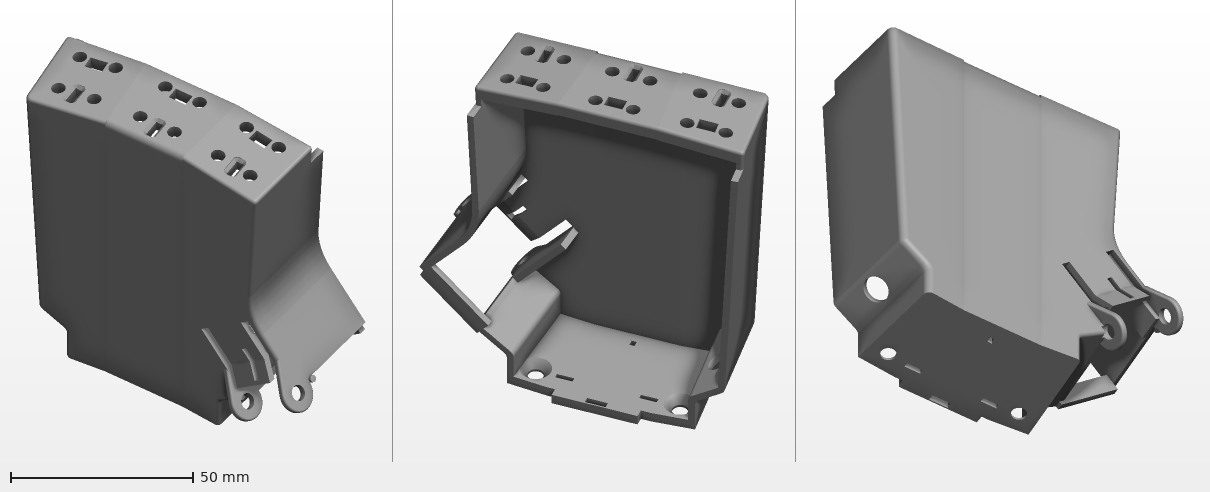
import cadquery as cq
import math

height = 100.4
depth = 31.6
wall = 2.0
floor = 3.0
panel_tilt = 5.0
centre_half = 12.4
top_wall = 4.0

base_reach = 12.4
base_height = 10.0
shoulder_reach = 20.9
shoulder_height = 15.4
top_reach = 25.0

front_round = 2.0
outlet_side_round = 1.2
top_round = 1.0
crease_round = 2.0

step_front = 25.3
step_height = 92.0
step_turn = 2.0

outlet_drop = 50.0
outlet_span = 24.7
bend_radius = 18.1
plate = 2.0
lug_radius = 5.4
lug_hole = 4.5
lug_start = 11.0
lug_round = 0.6
slot_width = 3.0
slot_length = 24.7
tongue_gap = 6.0
tongue_bend = 12.2
tongue_rise = 2.7
strain_slot_start = 16.5
strain_slot_end = 7.1
strain_slot_shift = 1.8
strain_slot_width = 1.8
strap_width = 5.3
strap_overhang = 1.1
upper_rib = 1.5
rib_depth = 10.0
plate_setback = 1.0
overlap = 0.1
pin_diameter = 2.0
pin_height = 0.8
pin_back = 6.2
pin_inset = 0.3

pin_hole = 4.0
pin_hole_offset = 5.5
pin_rows = (7.1, 20.2)
window = (5.4, 3.7)
window_row = 19.3
key_slot = (2.2, 5.4)
key_bevel = 0.9
key_row = 5.7
key_side_offset = 26.0

cable_hole = 7.6
cable_hole_back = 18.0
screw_hole = 4.5
screw_head = 9.0
screw_offset = 21.2
screw_row = 25.1
floor_slot = (5.1, 1.4)
floor_slot_offset = 12.3
floor_slot_row = 26.0
drain = (1.5, 1.8)
tab_width = 25.2
tab_shift = 0.5
tab_back = 34.0
tab_slot = (6.1, 1.8)
tab_slot_row = 32.7

tilt = math.radians(panel_tilt)
centre_depth = depth * math.cos(tilt)
panel_fall = math.tan(tilt)
top_edge = height - top_reach * panel_fall
drop = math.radians(outlet_drop)
along = (math.cos(drop), -math.sin(drop))
across = (math.sin(drop), math.cos(drop))
outlet_end = (
    shoulder_reach + outlet_span * across[0],
    shoulder_height + outlet_span * across[1],
)


def place(shape, side):
    """Move a panel-frame shape to the right (+1) or left (-1) of the centre panel."""
    moved = shape.rotate((0, 0, 0), (0, 0, 1), -panel_tilt).translate((centre_half, 0, 0))
    return moved if side > 0 else moved.mirror("YZ")


def panel_outline(start, bottom, with_outlet):
    """Closed panel outline in its own frame, X outward and Z up."""
    outline = (
        cq.Workplane("XZ")
        .moveTo(start, bottom)
        .lineTo(base_reach, bottom)
        .lineTo(base_reach, base_height)
        .lineTo(shoulder_reach, shoulder_height)
    )
    if with_outlet:
        wall_lean = math.atan2(top_reach - shoulder_reach, top_edge - shoulder_height)
        wall_way = (math.sin(wall_lean), math.cos(wall_lean))
        gap_x = shoulder_reach - outlet_end[0]
        gap_z = shoulder_height - outlet_end[1]
        determinant = along[0] * wall_way[1] - along[1] * wall_way[0]
        back = (gap_x * wall_way[1] - gap_z * wall_way[0]) / determinant
        corner = (outlet_end[0] + back * along[0], outlet_end[1] + back * along[1])
        turn = math.pi / 2 - drop + wall_lean
        trim = bend_radius * math.tan(turn / 2)
        bend_start = (corner[0] + trim * along[0], corner[1] + trim * along[1])
        bend_end = (corner[0] + trim * wall_way[0], corner[1] + trim * wall_way[1])
        outline = (
            outline.lineTo(*outlet_end)
            .lineTo(*bend_start)
            .tangentArcPoint(bend_end, relative=False)
        )
    return outline.lineTo(top_reach, top_edge).lineTo(start, height - start * panel_fall).close()


def side_front_edges(panel):
    """Front edges along the outer side, leaving out joint, base, top and outlet mouth."""
    mouth = ((shoulder_reach + outlet_end[0]) / 2, (shoulder_height + outlet_end[1]) / 2)
    chosen = []
    for edge in panel.faces("<Y").edges().vals():
        middle = edge.Center()
        at_mouth = math.hypot(middle.x - mouth[0], middle.z - mouth[1]) < wall
        if middle.x > base_reach - wall and middle.z > wall and middle.z < top_edge - wall and not at_mouth:
            if middle.x > top_reach / 2 + wall or middle.z < shoulder_height:
                chosen.append(edge)
    return chosen


def side_panel(with_outlet):
    panel = panel_outline(0, 0, with_outlet).extrude(-depth)
    side_round = outlet_side_round if with_outlet else front_round
    creases = [(base_reach, base_height)]
    if not with_outlet:
        creases.append((shoulder_reach, shoulder_height))
    for x, z in creases:
        panel = panel.edges(cq.selectors.NearestToPointSelector((x, depth / 2, z))).fillet(crease_round)
    panel = panel.newObject(side_front_edges(panel)).fillet(side_round)
    top_front = (top_reach / 2, 0, (height + top_edge) / 2)
    return panel.edges(cq.selectors.NearestToPointSelector(top_front)).fillet(top_round)


def side_cavity(with_outlet):
    hollow = panel_outline(-wall, floor - wall, with_outlet).offset2D(-wall).extrude(-depth)
    far = 2 * top_reach
    ceiling = (
        cq.Workplane("XZ", origin=(0, 0, height - top_wall))
        .polyline([(-wall, 0), (far, -far * panel_fall), (far, wall), (-wall, wall)])
        .close()
        .extrude(-depth)
    )
    return hollow.cut(ceiling).translate((0, wall, 0))


def centre_prism(front, back, bottom, top):
    """Block between the two panel joints, which spread toward the back."""
    spread = math.tan(tilt)
    near = centre_half + front * spread
    far = centre_half + back * spread
    corners = [(-near, front), (near, front), (far, back), (-far, back)]
    return cq.Workplane("XY").workplane(offset=bottom).polyline(corners).close().extrude(top - bottom)


lug_centre = (outlet_end[0] - across[0] * plate / 2, outlet_end[1] - across[1] * plate / 2)
lower_lug = plate - outlet_span
tongue_low = lower_lug + plate / 2 + slot_width
tongue_high = -plate / 2 - slot_width
strain_middle = (tongue_low + tongue_high) / 2 + strain_slot_shift


def outlet_block(s_range, t_range, v_range):
    """Block in outlet directions: along, across, and back from the panel front."""
    plane = cq.Plane(
        origin=(lug_centre[0], v_range[0], lug_centre[1]),
        xDir=(along[0], 0, along[1]),
        normal=(0, -1, 0),
    )
    length = s_range[1] - s_range[0]
    width = t_range[1] - t_range[0]
    return (
        cq.Workplane(plane)
        .center((s_range[0] + s_range[1]) / 2, (t_range[0] + t_range[1]) / 2)
        .rect(length, width)
        .extrude(v_range[0] - v_range[1])
    )


def across_plane(t):
    """Plane of a lug: X along the outlet, Y toward the back."""
    return cq.Plane(
        origin=(lug_centre[0] + t * across[0], 0, lug_centre[1] + t * across[1]),
        xDir=(along[0], 0, along[1]),
        normal=(across[0], 0, across[1]),
    )


def lug(t):
    """Round-ended ear sloping out of the panel front."""
    lean = math.asin(lug_radius / lug_start)
    touch = (-lug_radius * math.sin(lean), -lug_radius * math.cos(lean))
    ear = (
        cq.Workplane(across_plane(t - plate / 2))
        .moveTo(-lug_start, 0)
        .lineTo(*touch)
        .threePointArc((lug_radius, 0), (0, lug_radius))
        .lineTo(-lug_start, lug_radius)
        .close()
        .extrude(plate)
    )
    return ear.faces("<Y").edges().fillet(lug_round)


def lug_bore(t):
    return cq.Workplane(across_plane(t - plate)).circle(lug_hole / 2).extrude(2 * plate)


def tongue():
    """Flap between the lugs, bent out of the panel front."""
    return (
        cq.Workplane(across_plane(tongue_low))
        .polyline(
            [
                (-tongue_bend, 0),
                (-tongue_gap, -tongue_rise),
                (-tongue_gap, wall - tongue_rise),
                (-tongue_bend, wall),
            ]
        )
        .close()
        .extrude(tongue_high - tongue_low)
    )


def add_outlet(housing):
    inner = (lower_lug + plate / 2, -plate / 2)
    cut_depth = (-wall, wall)
    housing = housing.cut(place(outlet_block((-tongue_bend, wall), inner, cut_depth), 1))
    mouth = outlet_block((-2 * strap_width, wall), inner, (wall, depth - wall))
    housing = housing.cut(place(mouth, 1))
    rib_bands = (
        (inner[1] - upper_rib, inner[1]),
        (inner[0] - plate, inner[0]),
    )
    for band in rib_bands:
        rib = outlet_block((-slot_length, -plate_setback), band, (wall - overlap, rib_depth))
        housing = housing.union(place(rib, 1))
    setback = outlet_block(
        (-plate_setback, 2 * wall),
        (inner[1] - plate, 2 * plate),
        (lug_radius, 2 * depth),
    )
    housing = housing.cut(place(setback, 1))
    strap = outlet_block(
        (strap_overhang - strap_width, strap_overhang),
        (inner[0] - plate, inner[1]),
        (depth - wall, depth),
    )
    housing = housing.union(place(strap, 1))
    for low, high in ((inner[0], tongue_low), (tongue_high, inner[1])):
        slot = outlet_block((-slot_length, -tongue_bend), (low, high), cut_depth)
        housing = housing.cut(place(slot, 1))
    housing = housing.union(place(tongue(), 1))
    strain_slot = outlet_block(
        (-strain_slot_start, -strain_slot_end),
        (strain_middle - strain_slot_width / 2, strain_middle + strain_slot_width / 2),
        (-2 * wall, 2 * wall),
    )
    housing = housing.cut(place(strain_slot, 1))
    for t in (0, lower_lug):
        housing = housing.union(place(lug(t), 1)).cut(place(lug_bore(t), 1))
    pin = (
        cq.Workplane(across_plane(0))
        .center(-pin_inset, pin_back)
        .circle(pin_diameter / 2)
        .extrude(plate / 2 + pin_height)
    )
    return housing.union(place(pin, 1))


def contact_openings(middle, level):
    """Four contact holes and a window, cut down through one top panel."""
    top = cq.Workplane("XY").workplane(offset=level + wall)
    points = [(middle + x, y) for x in (-pin_hole_offset, pin_hole_offset) for y in pin_rows]
    holes = top.pushPoints(points).circle(pin_hole / 2).extrude(-2 * top_wall)
    return holes.union(top.center(middle, window_row).rect(*window).extrude(-2 * top_wall))


def octagon(plane, width, length, corner):
    """Rectangle with its corners cut off, centred on the plane's origin."""
    x, y = width / 2, length / 2
    points = []
    for along_x, along_y in ((1, 1), (-1, 1), (-1, -1), (1, -1)):
        clipped = [(along_x * x, along_y * (y - corner)), (along_x * (x - corner), along_y * y)]
        points += clipped if along_x == along_y else clipped[::-1]
    return plane.polyline(points).close()


def key_opening(x, level):
    """Bevelled slot through the top at the given place and level."""
    rim = cq.Workplane("XY", origin=(x, key_row, level))
    wide = (key_slot[0] + 2 * key_bevel, key_slot[1] + 2 * key_bevel)
    bevel = octagon(rim, *wide, key_bevel).workplane(offset=-key_bevel)
    bevel = octagon(bevel, *key_slot, key_bevel / 3).loft(combine=True)
    above = octagon(rim, *wide, key_bevel).extrude(wall)
    return bevel.union(above).union(rim.rect(*key_slot).extrude(-2 * top_wall))


def cable_opening():
    """Round hole square to the sloped left shoulder."""
    rise = shoulder_height - base_height
    run = shoulder_reach - base_reach
    plane = cq.Plane(
        origin=(base_reach + run / 2, cable_hole_back, base_height + rise / 2),
        xDir=(0, 1, 0),
        normal=(rise, 0, -run),
    )
    return cq.Workplane(plane).circle(cable_hole / 2).extrude(2 * wall, both=True)


def cut_top(housing):
    housing = housing.cut(contact_openings(0, height))
    housing = housing.cut(key_opening(0, height))
    for side in (-1, 1):
        tilted = contact_openings(top_reach / 2, 0).rotate((0, 0, 0), (0, 1, 0), panel_tilt)
        housing = housing.cut(place(tilted.translate((0, 0, height)), side))
        key_level = height - (key_side_offset - centre_half) * panel_fall
        housing = housing.cut(key_opening(side * key_side_offset, key_level))
    return housing


def finish_floor(housing):
    """Back tab, screw holes, drain and snap slots of the floor."""
    tab = (
        cq.Workplane("XY")
        .center(tab_shift, (screw_row + tab_back) / 2)
        .rect(tab_width, tab_back - screw_row)
        .extrude(floor)
    )
    housing = housing.union(tab)
    ground = cq.Workplane("XY")
    slots = ground.center(tab_shift, tab_slot_row).rect(*tab_slot).extrude(floor)
    for x in (-floor_slot_offset, floor_slot_offset):
        slots = slots.union(ground.center(x, floor_slot_row).rect(*floor_slot).extrude(floor))
    slots = slots.union(ground.center(0, key_row).rect(*drain).extrude(floor))
    housing = housing.cut(slots)
    head_depth = (screw_head - screw_hole) / 2
    for x in (-screw_offset, screw_offset):
        through = ground.center(x, screw_row).circle(screw_hole / 2).extrude(floor)
        head = cq.Solid.makeCone(
            screw_hole / 2, screw_head / 2, head_depth, pnt=cq.Vector(x, screw_row, floor - head_depth)
        )
        housing = housing.cut(through).cut(cq.Workplane(head))
    return housing


def cut_step(solid):
    """Lower the back of the housing, and round the top edge left in front of the step."""
    joint = centre_half + step_front * math.tan(tilt)
    far = 2 * depth
    turned = step_front - (far - joint) * math.tan(math.radians(step_turn))
    corners = [
        (-far, turned),
        (-joint, step_front),
        (joint, step_front),
        (far, turned),
        (far, far),
        (-far, far),
    ]
    step = cq.Workplane("XY", origin=(0, 0, step_height)).polyline(corners).close().extrude(height)
    solid = solid.cut(step)
    rims = []
    for x in (-centre_half - top_reach / 2, 0, centre_half + top_reach / 2):
        level = height - max(0, abs(x) - centre_half) * panel_fall
        rims.append(solid.edges(cq.selectors.NearestToPointSelector((x, step_front, level))).val())
    return solid.newObject(rims).fillet(top_round)


def housing_shell():
    solid = centre_prism(0, centre_depth, 0, height).edges("|X and >Z and <Y").fillet(front_round)
    cavity = centre_prism(wall, 2 * depth, floor, height - top_wall)
    for side in (-1, 1):
        solid = solid.union(place(side_panel(side > 0), side))
        cavity = cavity.union(place(side_cavity(side > 0), side))
    return cut_step(solid).cut(cavity)


result = housing_shell()
result = add_outlet(result)
result = cut_top(result)
result = result.cut(place(cable_opening(), -1))
result = finish_floor(result)